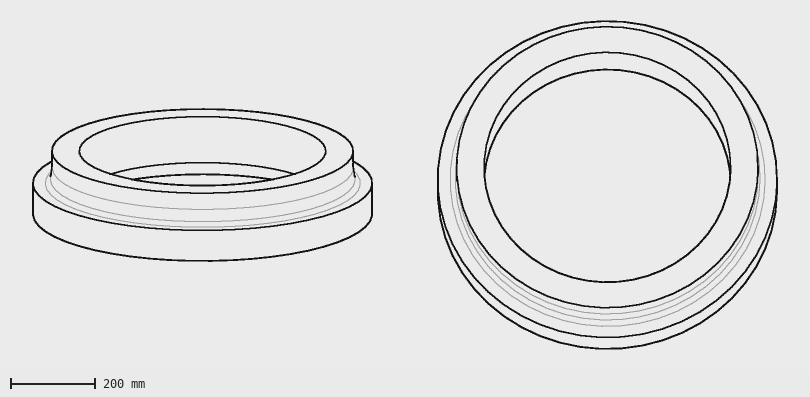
import cadquery as cq
import math

flange_radius = 400.0
total_height = 154.0
flange_height = 75.0
bore_radius = 290.0
bore_chamfer = 41.0

neck_radius = 355.0
taper_top = 114.0
taper_angle = math.radians(8)

fillet_radius = 12.0
fillet_center_z = flange_height + fillet_radius
fillet_top = fillet_center_z - fillet_radius * math.sin(taper_angle)
hub_radius = neck_radius + (taper_top - fillet_top) * math.tan(taper_angle)
fillet_foot_radius = hub_radius + fillet_radius * math.cos(taper_angle)

mid_angle = (math.pi / 2 + taper_angle) / 2
fillet_mid = (
    fillet_foot_radius - fillet_radius * math.cos(mid_angle),
    fillet_center_z - fillet_radius * math.sin(mid_angle),
)

section = (
    cq.Workplane("XZ")
    .moveTo(bore_radius + bore_chamfer, 0)
    .lineTo(flange_radius, 0)
    .lineTo(flange_radius, flange_height)
    .lineTo(fillet_foot_radius, flange_height)
    .threePointArc(fillet_mid, (hub_radius, fillet_top))
    .lineTo(neck_radius, taper_top)
    .lineTo(neck_radius, total_height)
    .lineTo(bore_radius, total_height)
    .lineTo(bore_radius, bore_chamfer)
    .close()
)
result = section.revolve(360, (0, 0, 0), (0, 1, 0))